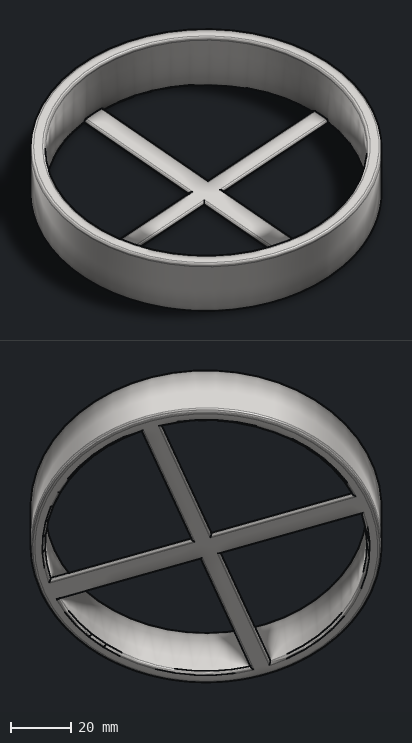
import cadquery as cq

outer_diameter = 117.0
inner_diameter = 107.0
ring_height = 22.0
edge_round = 1.0
bottom_chamfer = 1.0

x_arm_width = 8.7
y_arm_width = 7.0
arm_thickness = 1.9
arm_edge_round = 0.8
arm_length = (outer_diameter + inner_diameter) / 2


def make_ring():
    """Ring with rounded edges; its lower outer edge is chamfered and the chamfer blended in."""
    ring = cq.Workplane("XY").circle(outer_diameter / 2).extrude(ring_height)
    ring = ring.faces("<Z").edges().chamfer(bottom_chamfer)
    bore = cq.Workplane("XY").circle(inner_diameter / 2).extrude(ring_height)
    return ring.cut(bore).edges("%CIRCLE").fillet(edge_round)


def make_arm(size_x, size_y, long_axis):
    """Flat arm with its four long edges rounded."""
    arm = cq.Workplane("XY").box(size_x, size_y, arm_thickness, centered=(True, True, False))
    return arm.edges("|" + long_axis).fillet(arm_edge_round)


x_arm = make_arm(arm_length, x_arm_width, "X")
y_arm = make_arm(y_arm_width, arm_length, "Y")
result = make_ring().union(x_arm).union(y_arm)